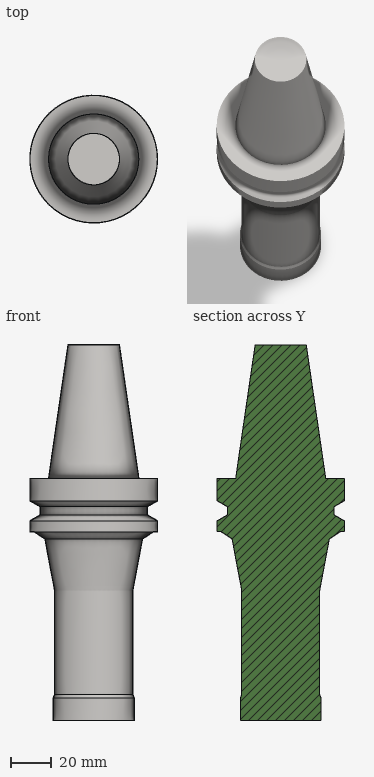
import cadquery as cq
import math

total_height = 185.4
flange_dia = 63.0
groove_dia = 53.0
taper_large_dia = 44.5
collar_dia = 40.0
shank_dia = 38.7
neck_bottom_dia = 39.5
neck_top_dia = 48.2
flange_underside_dia = 59.0

collar_edge_z = 11.1
collar_top_z = 12.8
neck_step_z = 64.1
neck_bottom_z = 66.4
neck_top_z = 89.5
flange_bottom_z = 93.0
groove_bottom_z = 101.5
groove_top_z = 105.5
flange_top_z = 119.4
taper_bottom_z = 120.0

taper_ratio = 7 / 24
taper_small_dia = taper_large_dia - taper_ratio * (total_height - taper_bottom_z)

groove_side_angle = 30.0
groove_depth = (flange_dia - groove_dia) / 2
groove_side_height = groove_depth * math.tan(math.radians(groove_side_angle))

profile_corners = [
    (collar_dia, 0),
    (collar_dia, collar_edge_z),
    (shank_dia, collar_top_z),
    (shank_dia, neck_step_z),
    (neck_bottom_dia, neck_bottom_z),
    (neck_top_dia, neck_top_z),
    (flange_underside_dia, flange_bottom_z),
    (flange_dia, flange_bottom_z),
    (flange_dia, groove_bottom_z - groove_side_height),
    (groove_dia, groove_bottom_z),
    (groove_dia, groove_top_z),
    (flange_dia, groove_top_z + groove_side_height),
    (flange_dia, flange_top_z),
    (taper_large_dia, flange_top_z),
    (taper_large_dia, taper_bottom_z),
    (taper_small_dia, total_height),
]


def revolve_profile(corners):
    """Turn the half profile a full revolution about the Z axis."""
    outline = cq.Workplane("XZ").moveTo(0, 0)
    for diameter, z in corners:
        outline = outline.lineTo(diameter / 2, z)
    outline = outline.lineTo(0, total_height).close()
    return outline.revolve(360, (0, 0, 0), (0, 1, 0))


result = revolve_profile(profile_corners)